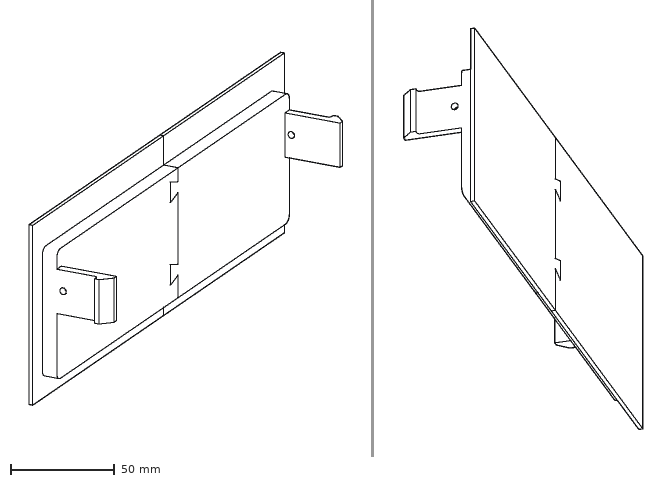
import cadquery as cq

PLATE_LENGTH = 263.8
PLATE_HEIGHT = 93.0
PLATE_THICKNESS = 2.0

BLOCK_BACK_X = 10.0
BLOCK_INSET = 10.0
BLOCK_TOP_Z = 31.5
BLOCK_BOTTOM_Z = -36.0
BLOCK_CORNER_RADIUS = 4.0
BLOCK_END_Y = PLATE_LENGTH / 2 - BLOCK_INSET

ARM_TIP_X = 40.0
ARM_THICKNESS = 4.7
ARM_TOP_Z = 22.0
ARM_BOTTOM_Z = -1.0
HOOK_START_X = 32.2
HOOK_HEIGHT = 3.2
HOOK_CREST_WIDTH = 2.6
HOOK_ROOT_RADIUS = 1.3
HOLE_DIAMETER = 3.5
HOLE_X = 13.5
HOLE_Z = 11.0

SEAM_Y = 5.3
DOVETAIL_LENGTH = 8.0
DOVETAIL_ROOT_WIDTH = 5.5
DOVETAIL_END_WIDTH = 10.5
DOVETAIL_OFFSET_Z = 21.4


def make_plate_and_block():
    """Full-length plate with its raised block, rounded at the four corners."""
    plate = cq.Workplane("XY").box(
        PLATE_THICKNESS, PLATE_LENGTH, PLATE_HEIGHT, centered=(False, True, True)
    )
    block = (
        cq.Workplane("XY")
        .box(
            BLOCK_BACK_X - PLATE_THICKNESS,
            2 * BLOCK_END_Y,
            BLOCK_TOP_Z - BLOCK_BOTTOM_Z,
            centered=(False, True, False),
        )
        .translate((PLATE_THICKNESS, 0, BLOCK_BOTTOM_Z))
        .edges("|X")
        .fillet(BLOCK_CORNER_RADIUS)
    )
    return plate.union(block)


def make_arm():
    """Snap arm at the +Y end, with an outward hook and a cross hole."""
    inner_y = BLOCK_END_Y - ARM_THICKNESS
    crest_y = BLOCK_END_Y + HOOK_HEIGHT
    crest_end_x = HOOK_START_X + HOOK_CREST_WIDTH
    ramp_depth = ARM_TIP_X - crest_end_x
    arm = (
        cq.Workplane("XY", origin=(0, 0, ARM_BOTTOM_Z))
        .moveTo(PLATE_THICKNESS, inner_y)
        .lineTo(ARM_TIP_X, inner_y)
        .lineTo(ARM_TIP_X, crest_y - ramp_depth)
        .lineTo(crest_end_x, crest_y)
        .lineTo(HOOK_START_X, crest_y)
        .lineTo(HOOK_START_X, BLOCK_END_Y)
        .lineTo(PLATE_THICKNESS, BLOCK_END_Y)
        .close()
        .extrude(ARM_TOP_Z - ARM_BOTTOM_Z)
    )
    arm_middle_z = (ARM_TOP_Z + ARM_BOTTOM_Z) / 2
    hook_root = cq.NearestToPointSelector((HOOK_START_X, BLOCK_END_Y, arm_middle_z))
    arm = arm.edges("|Z").edges(hook_root).fillet(HOOK_ROOT_RADIUS)
    hole = (
        cq.Workplane("XZ", origin=(HOLE_X, BLOCK_END_Y, HOLE_Z))
        .circle(HOLE_DIAMETER / 2)
        .extrude(ARM_THICKNESS)
    )
    return arm.cut(hole)


def make_tail_region():
    """Space beyond the seam on the +Y side, including the two dovetails."""
    region = cq.Workplane("XY").box(
        BLOCK_BACK_X, PLATE_LENGTH / 2 - SEAM_Y, PLATE_HEIGHT, centered=(False, False, True)
    ).translate((0, SEAM_Y, 0))
    tail_end_y = SEAM_Y - DOVETAIL_LENGTH
    for middle_z in (-DOVETAIL_OFFSET_Z, DOVETAIL_OFFSET_Z):
        tail = (
            cq.Workplane("YZ")
            .moveTo(SEAM_Y, middle_z - DOVETAIL_ROOT_WIDTH / 2)
            .lineTo(tail_end_y, middle_z - DOVETAIL_END_WIDTH / 2)
            .lineTo(tail_end_y, middle_z + DOVETAIL_END_WIDTH / 2)
            .lineTo(SEAM_Y, middle_z + DOVETAIL_ROOT_WIDTH / 2)
            .close()
            .extrude(BLOCK_BACK_X)
        )
        region = region.union(tail)
    return region


def make_tail_half(body, region, arm):
    """+Y half, carrying the dovetails."""
    return body.intersect(region).union(arm)


def make_socket_half(body, region, arm):
    """-Y half, with matching sockets for the dovetails."""
    return body.cut(region).union(arm.mirror("XZ"))


plate_and_block = make_plate_and_block()
tail_region = make_tail_region()
snap_arm = make_arm()

tail_half = make_tail_half(plate_and_block, tail_region, snap_arm)
socket_half = make_socket_half(plate_and_block, tail_region, snap_arm)

result = cq.Compound.makeCompound([tail_half.val(), socket_half.val()])